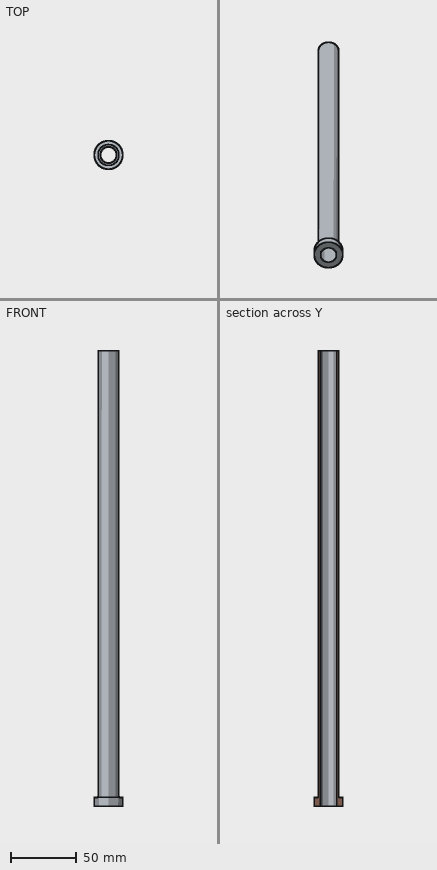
import cadquery as cq

total_length = 350.0
tube_diameter = 16.0
bore_diameter = 12.2

head_diameter = 22.0
head_height = 7.0

neck_fillet = 0.52


def sleeve():
    """Headed tube, revolved about Z from its half section."""
    bore_radius = bore_diameter / 2
    tube_radius = tube_diameter / 2
    head_radius = head_diameter / 2
    half_section = (
        cq.Workplane("XZ")
        .moveTo(bore_radius, 0)
        .lineTo(head_radius, 0)
        .lineTo(head_radius, head_height)
        .lineTo(tube_radius + neck_fillet, head_height)
        .tangentArcPoint((tube_radius, head_height + neck_fillet), relative=False)
        .lineTo(tube_radius, total_length)
        .lineTo(bore_radius, total_length)
        .close()
    )
    return half_section.revolve(360, (0, 0, 0), (0, 1, 0))


result = sleeve()